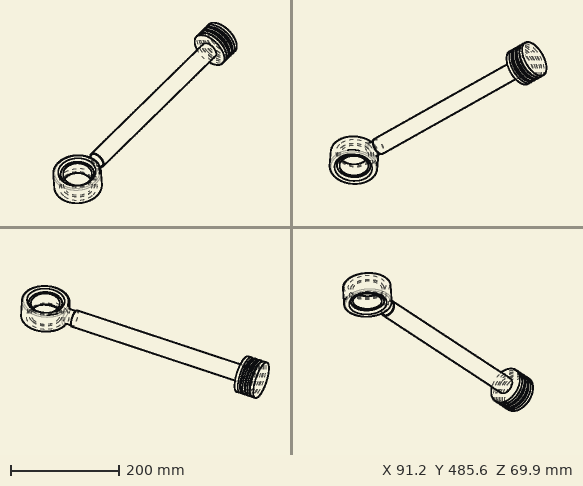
import cadquery as cq
import math


eye_radius = 44.4
eye_width = 39.5
eye_edge_fillet = 2.5
eye_mouth_radius = 35.0
ball_radius = 34.0
ball_face_radius = 31.0
ball_bore_radius = 26.5
ball_half_width = math.sqrt(ball_radius**2 - ball_face_radius**2)

rod_radius = 16.0
rod_start = 59.0
neck_radius = 14.0
neck_fillet = 4.5

head_radius = 34.7
head_length = 38.5
head_end = 440.5
head_start = head_end - head_length
groove_count = 3
groove_width = 6.0
groove_depth = 3.0
groove_pitch = 9.45

roll_angle = -4.5
tilt_angle = -0.8


def cylinder_along_y(radius, start, end):
    """Solid cylinder on the Y axis between two stations."""
    return cq.Workplane("XZ", origin=(0, start, 0)).circle(radius).extrude(start - end)


def disc(radius, width):
    """Solid cylinder on the Z axis, centred on the origin."""
    return cq.Workplane("XY", origin=(0, 0, -width / 2)).circle(radius).extrude(width)


def v_groove(station):
    """Ring of triangular section that cuts one groove around the piston head."""
    half_width = groove_width / 2
    return (
        cq.Workplane("XY")
        .moveTo(head_radius, station - half_width)
        .lineTo(head_radius - groove_depth, station)
        .lineTo(head_radius, station + half_width)
        .close()
        .revolve(360, (0, 0, 0), (0, 1, 0))
    )


def make_head():
    """Piston head with evenly spaced grooves about its middle."""
    head = cylinder_along_y(head_radius, head_start, head_end)
    middle = (head_start + head_end) / 2
    for index in range(groove_count):
        offset = (index - (groove_count - 1) / 2) * groove_pitch
        head = head.cut(v_groove(middle + offset))
    return head


def make_eye_bore():
    """Spherical seat for the ball with a conical mouth on each side of the eye."""
    half_width = eye_width / 2
    return (
        cq.Workplane("XZ")
        .moveTo(0, -half_width)
        .lineTo(eye_mouth_radius, -half_width)
        .lineTo(ball_face_radius, -ball_half_width)
        .threePointArc((ball_radius, 0), (ball_face_radius, ball_half_width))
        .lineTo(eye_mouth_radius, half_width)
        .lineTo(0, half_width)
        .close()
        .revolve(360, (0, 0, 0), (0, 1, 0))
    )

def make_piston_rod():
    """Eye, neck, rod and piston head as one body."""
    eye = disc(eye_radius, eye_width).faces("|Z").edges().fillet(eye_edge_fillet)
    neck = cylinder_along_y(neck_radius, 0, rod_start)
    junction = cq.selectors.BoxSelector(
        (-rod_radius, eye_radius / 2, -rod_radius),
        (rod_radius, (eye_radius + rod_start) / 2, rod_radius),
    )
    eye = eye.union(neck).edges(junction).fillet(neck_fillet)
    rod = cylinder_along_y(rod_radius, rod_start, head_start)
    body = eye.union(rod).union(make_head()).cut(make_eye_bore())
    return body.solids()


def make_ball():
    """Ball of the swivel bearing: a bored sphere with two flat faces."""
    return (
        cq.Workplane("XZ")
        .moveTo(ball_bore_radius, -ball_half_width)
        .lineTo(ball_face_radius, -ball_half_width)
        .threePointArc((ball_radius, 0), (ball_face_radius, ball_half_width))
        .lineTo(ball_bore_radius, ball_half_width)
        .close()
        .revolve(360, (0, 0, 0), (0, 1, 0))
    )


def tilt(body):
    """Roll a body about the rod axis, then lower its piston end."""
    rolled = body.rotate((0, 0, 0), (0, 1, 0), roll_angle)
    return rolled.rotate((0, 0, 0), (1, 0, 0), tilt_angle)


piston_rod = tilt(make_piston_rod())

ball = make_ball()

result = cq.Compound.makeCompound([piston_rod.val(), ball.val()])